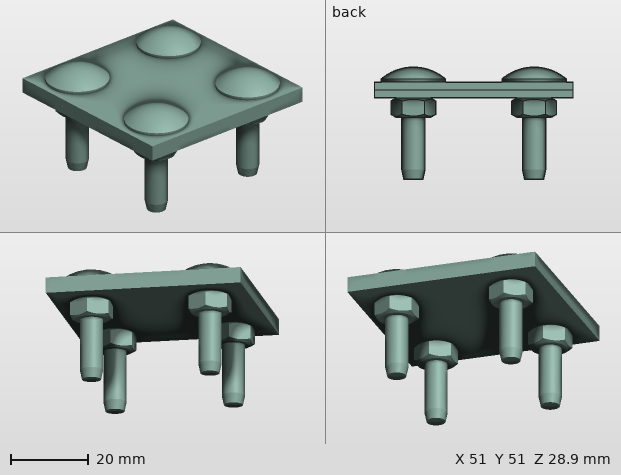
import cadquery as cq
import math

PLATE_SIDE = 51.0
PLATE_THICKNESS = 2.05
STACK_TOP = 2 * PLATE_THICKNESS

BOLT_EDGE_DISTANCE = 10.0
BOLT_OFFSET = PLATE_SIDE / 2 - BOLT_EDGE_DISTANCE
BOLT_POSITIONS = [(sx * BOLT_OFFSET, sy * BOLT_OFFSET) for sx in (-1, 1) for sy in (-1, 1)]

SHANK_DIAMETER = 6.0
SHANK_LENGTH = 25.0
TIP_DIAMETER = 4.92
TIP_LENGTH = 2.5

HEAD_DIAMETER = 16.55
HEAD_HEIGHT = 3.88
HEAD_RIM_HEIGHT = 0.8

NUT_ACROSS_FLATS = 10.0
NUT_ACROSS_CORNERS = NUT_ACROSS_FLATS / math.cos(math.radians(30))
NUT_HEIGHT = 5.0
NUT_FACE_DIAMETER = 8.8
NUT_CHAMFER_ANGLE = 30.0


def make_plate(bottom_z):
    """Square plate with a close-fitting hole for each bolt shank."""
    return (
        cq.Workplane("XY", origin=(0, 0, bottom_z))
        .rect(PLATE_SIDE, PLATE_SIDE)
        .pushPoints(BOLT_POSITIONS)
        .circle(SHANK_DIAMETER / 2)
        .extrude(PLATE_THICKNESS)
    )


def make_head():
    """Round head with a short straight rim and a spherical crown, resting on the upper plate."""
    head_radius = HEAD_DIAMETER / 2
    dome_height = HEAD_HEIGHT - HEAD_RIM_HEIGHT
    dome_radius = (head_radius**2 + dome_height**2) / (2 * dome_height)
    dome_center_z = STACK_TOP + HEAD_HEIGHT - dome_radius

    blank = cq.Workplane("XY", origin=(0, 0, STACK_TOP)).circle(head_radius).extrude(HEAD_HEIGHT)
    crown = cq.Workplane("XZ", origin=(0, 0, dome_center_z)).sphere(dome_radius)
    return blank.intersect(crown)


def make_shank():
    """Cylindrical shank with a tapered tip, hanging below the head."""
    shank_radius = SHANK_DIAMETER / 2
    tip_z = STACK_TOP - SHANK_LENGTH
    return (
        cq.Workplane("XZ")
        .moveTo(0, tip_z)
        .lineTo(TIP_DIAMETER / 2, tip_z)
        .lineTo(shank_radius, tip_z + TIP_LENGTH)
        .lineTo(shank_radius, STACK_TOP)
        .lineTo(0, STACK_TOP)
        .close()
        .revolve(360, (0, 0), (0, 1))
    )


def make_bolt(x, y):
    """Domed-head bolt, head and shank in one piece."""
    return make_head().union(make_shank()).translate((x, y, 0))


def make_nut(x, y):
    """Hexagonal nut with its corners chamfered by a cone at both ends."""
    face_radius = NUT_FACE_DIAMETER / 2
    corner_radius = NUT_ACROSS_CORNERS / 2
    chamfer_height = (corner_radius - face_radius) * math.tan(math.radians(NUT_CHAMFER_ANGLE))

    hexagon = cq.Workplane("XY").polygon(6, NUT_ACROSS_CORNERS).extrude(-NUT_HEIGHT)
    chamfer_envelope = (
        cq.Workplane("XZ")
        .moveTo(0, 0)
        .lineTo(face_radius, 0)
        .lineTo(corner_radius, -chamfer_height)
        .lineTo(corner_radius, chamfer_height - NUT_HEIGHT)
        .lineTo(face_radius, -NUT_HEIGHT)
        .lineTo(0, -NUT_HEIGHT)
        .close()
        .revolve(360, (0, 0), (0, 1))
    )
    bore = cq.Workplane("XY").circle(SHANK_DIAMETER / 2).extrude(-NUT_HEIGHT)
    return hexagon.intersect(chamfer_envelope).cut(bore).translate((x, y, 0))


lower_plate = make_plate(0)
upper_plate = make_plate(PLATE_THICKNESS)
bolts = [make_bolt(x, y) for x, y in BOLT_POSITIONS]
nuts = [make_nut(x, y) for x, y in BOLT_POSITIONS]

result = cq.Compound.makeCompound(
    [
        lower_plate.val(),
        upper_plate.val(),
        *[bolt.val() for bolt in bolts],
        *[nut.val() for nut in nuts],
    ]
)